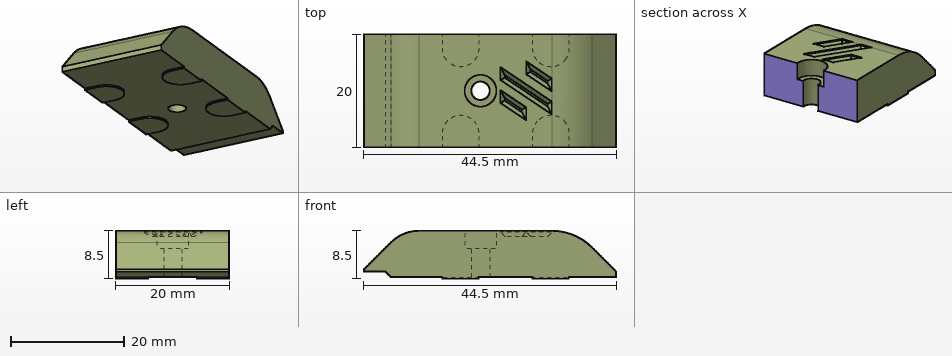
import cadquery as cq
import math

length = 44.55
width = 20.0
height = 8.5
pad_height = 0.3
left_fillet = 7.0
right_fillet = 10.02

tip_bottom = 1.3
tip_top = 1.7
right_edge_top = 1.3
undercut_start = 3.75
undercut_end = undercut_start + tip_bottom - pad_height

pad_width = 6.45
pad_centers_x = (17.0, 32.95)
pad_straight = 2.5

hole_x = 20.6
hole_diameter = 3.2
counterbore_diameter = 5.6
counterbore_depth = 3.1

groove_left = 24.1
groove_height = 2.25
groove_slope = -0.67
groove_lip = 0.22
groove_wall_depth = 0.75
groove_wall_taper = 45
fillet_tangent = right_fillet * math.tan(math.radians(45 / 2))
groove_right = length - (height - right_edge_top) - fillet_tangent
groove_middle = (groove_left + groove_right) / 2
short_groove_offset = 2.55


def make_body():
    left_corner = height - tip_top
    right_corner = length - (height - right_edge_top)
    outline = [
        (0, tip_bottom),
        (undercut_start, tip_bottom),
        (undercut_end, pad_height),
        (length, pad_height),
        (length, right_edge_top),
        (right_corner, height),
        (left_corner, height),
        (0, tip_top),
    ]
    body = cq.Workplane("XZ").polyline(outline).close().extrude(width / 2, both=True)
    body = body.edges(cq.NearestToPointSelector((left_corner, 0, height))).fillet(left_fillet)
    return body.edges(cq.NearestToPointSelector((right_corner, 0, height))).fillet(right_fillet)


def make_pad(center_x, side):
    """Pad with a round inner end; side is -1 or +1 along Y."""
    edge = side * width / 2
    round_start = edge - side * pad_straight
    round_tip = round_start - side * pad_width / 2
    left = center_x - pad_width / 2
    right = center_x + pad_width / 2
    return (
        cq.Workplane("XY")
        .moveTo(left, edge)
        .lineTo(left, round_start)
        .threePointArc((center_x, round_tip), (right, round_start))
        .lineTo(right, edge)
        .close()
        .extrude(pad_height)
    )


def make_groove(x_start, x_end, center_y):
    """Parallelogram pocket that narrows on all four sides below its upright lip."""
    half_run = (x_end - x_start) / 2
    half_rise = groove_slope * half_run
    outline = [
        (-half_run, -half_rise - groove_height / 2),
        (half_run, half_rise - groove_height / 2),
        (half_run, half_rise + groove_height / 2),
        (-half_run, -half_rise + groove_height / 2),
    ]
    center_x = (x_start + x_end) / 2
    top = cq.Workplane("XY", origin=(center_x, center_y, height))
    lip = top.polyline(outline).close().extrude(-groove_lip)
    below_lip = cq.Workplane("XY", origin=(center_x, center_y, height - groove_lip))
    walls = below_lip.polyline(outline).close().extrude(-groove_wall_depth, taper=groove_wall_taper)
    return lip.union(walls)


result = make_body()

for pad_x in pad_centers_x:
    for pad_side in (-1, 1):
        result = result.union(make_pad(pad_x, pad_side))

result = (
    result.faces(">Z")
    .workplane(origin=(hole_x, 0, height))
    .cboreHole(hole_diameter, counterbore_diameter, counterbore_depth)
)

result = result.cut(make_groove(groove_left, groove_right, 0))
result = result.cut(make_groove(groove_middle, groove_right, short_groove_offset))
result = result.cut(make_groove(groove_left, groove_middle, -short_groove_offset))